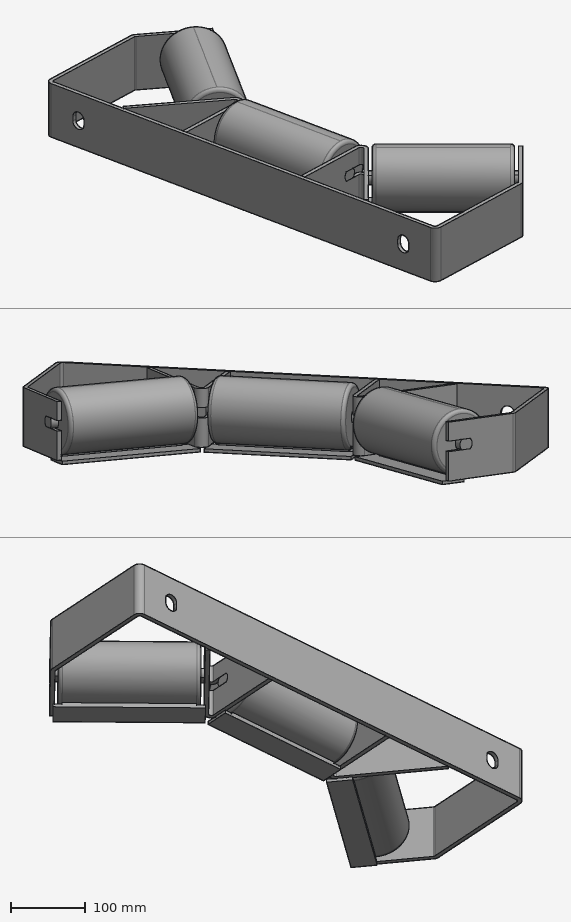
import cadquery as cq
import math

BAR_WIDTH = 80.0
BAR_THICKNESS = 6.0
BEND_RADIUS = 7.0

FRAME_LENGTH = 680.0
ARM_END = 28.5
MOUNT_HOLE_X = 283.0
MOUNT_HOLE_WIDTH = 19.0
MOUNT_HOLE_HEIGHT = 26.0

ROLLER_DIAMETER = 90.5
ROLLER_TOP_Z = 92.5
ROLLER_LENGTH = 190.5
ROLLER_EDGE_FILLET = 5.5
SHAFT_DIAMETER = 20.0
SHAFT_FLATS = 14.0
SHAFT_LENGTH = 212.0
SHAFT_Z = ROLLER_TOP_Z - ROLLER_DIAMETER / 2

GUARD_LENGTH = 203.0
GUARD_WIDTH = 35.5
GUARD_THICKNESS = 5.0

TROUGH_ANGLE = 40.0
SIDE_ROLLER_X = 207.5
SIDE_ROLLER_Y = 173.5
MIDDLE_ROLLER_Y = 100.0
ROLLER_PLACES = [
    (-SIDE_ROLLER_X, SIDE_ROLLER_Y, -TROUGH_ANGLE),
    (0, MIDDLE_ROLLER_Y, 0),
    (SIDE_ROLLER_X, SIDE_ROLLER_Y, TROUGH_ANGLE),
]

SIN = math.sin(math.radians(TROUGH_ANGLE))
COS = math.cos(math.radians(TROUGH_ANGLE))
HALF_BAR = BAR_THICKNESS / 2
SUPPORT_OFFSET = SHAFT_LENGTH / 2 - HALF_BAR


def side_roller_point(along, across):
    """Point given along the right roller's axis (outward) and across it (toward +Y)."""
    x = SIDE_ROLLER_X + along * COS - across * SIN
    y = SIDE_ROLLER_Y + along * SIN + across * COS
    return x, y


def across_at_x(along, x):
    """Distance across the right roller's axis at which a line square to it reaches this x."""
    return (SIDE_ROLLER_X + along * COS - x) / SIN


def across_at_y(along, y):
    """Distance across the right roller's axis at which a line square to it reaches this y."""
    return (y - SIDE_ROLLER_Y - along * SIN) / COS


def mirrored(points):
    return [(-x, y) for x, y in points]


def bent_bar(points):
    """Upright flat bar that follows the middle line through the points, with rounded bends."""
    line = cq.Wire.makePolygon([cq.Vector(x, y, 0) for x, y in points])
    path = line.fillet(BEND_RADIUS, line.Vertices()[1:-1])
    start = cq.Vector(*points[0], 0)
    direction = cq.Vector(*points[1], 0) - start
    section_plane = cq.Plane(origin=start, xDir=cq.Vector(0, 0, 1).cross(direction), normal=direction)
    section = cq.Workplane(section_plane).center(0, BAR_WIDTH / 2).rect(BAR_THICKNESS, BAR_WIDTH)
    return section.sweep(cq.Workplane(path))


def centred_cylinder(diameter, length):
    """Cylinder along X, centred on the origin."""
    end = cq.Plane(origin=(-length / 2, 0, 0), xDir=(0, 0, 1), normal=(1, 0, 0))
    return cq.Workplane(end).circle(diameter / 2).extrude(length)


def shaft():
    round_bar = centred_cylinder(SHAFT_DIAMETER, SHAFT_LENGTH)
    return round_bar.intersect(cq.Workplane().box(SHAFT_LENGTH, SHAFT_DIAMETER, SHAFT_FLATS))


def placed(body, place):
    x, y, angle = place
    return body.rotate((0, 0, 0), (0, 0, 1), angle).translate((x, y, SHAFT_Z))


def cut_shaft_slots(body):
    """Slots that hold the shafts, open toward the free ends and the bends of the bars."""
    slot_reach = SHAFT_LENGTH / 2 + BEND_RADIUS - HALF_BAR
    slot = cq.Workplane().box(2 * slot_reach, ROLLER_DIAMETER / 2, SHAFT_FLATS, centered=(True, False, True))
    for place in ROLLER_PLACES:
        body = body.cut(placed(slot, place)).cut(placed(shaft(), place))
    return body


def make_frame():
    side_x = FRAME_LENGTH / 2 - HALF_BAR
    right_half = [
        (side_x, HALF_BAR),
        side_roller_point(SUPPORT_OFFSET, across_at_x(SUPPORT_OFFSET, side_x)),
        side_roller_point(SUPPORT_OFFSET, ARM_END),
    ]
    frame = bent_bar(mirrored(right_half)[::-1] + right_half)
    mount_holes = (
        cq.Workplane("XZ")
        .pushPoints([(-MOUNT_HOLE_X, BAR_WIDTH / 2), (MOUNT_HOLE_X, BAR_WIDTH / 2)])
        .slot2D(MOUNT_HOLE_HEIGHT, MOUNT_HOLE_WIDTH, 90)
        .extrude(-BAR_THICKNESS)
    )
    return cut_shaft_slots(frame.cut(mount_holes))


def make_brackets():
    """V-shaped bars between the rollers, standing on the frame's base."""
    foot_y = BAR_THICKNESS
    sloping_leg = -SUPPORT_OFFSET
    foot_across = across_at_y(sloping_leg - HALF_BAR, foot_y)
    points = [
        (SUPPORT_OFFSET, foot_y),
        side_roller_point(sloping_leg, across_at_x(sloping_leg, SUPPORT_OFFSET)),
        side_roller_point(sloping_leg, foot_across),
    ]
    return [cut_shaft_slots(bent_bar(leg_points)) for leg_points in (points, mirrored(points))]


def make_roller():
    """Roller on its shaft, with the guard plate joined by a rib under the roller."""
    drum = centred_cylinder(ROLLER_DIAMETER, ROLLER_LENGTH)
    drum = drum.faces("<X or >X").edges().fillet(ROLLER_EDGE_FILLET)
    guard = (
        cq.Workplane()
        .box(GUARD_LENGTH, GUARD_WIDTH, GUARD_THICKNESS, centered=(True, False, False))
        .translate((0, 0, -SHAFT_Z - GUARD_THICKNESS))
    )
    rib_length = ROLLER_LENGTH - 2 * ROLLER_EDGE_FILLET
    rib = (
        cq.Workplane()
        .box(rib_length, GUARD_THICKNESS, SHAFT_Z, centered=(True, False, False))
        .translate((0, 0, -SHAFT_Z))
    )
    return drum.union(shaft()).union(guard).union(rib)


frame = make_frame()
brackets = make_brackets()
rollers = [placed(make_roller(), place) for place in ROLLER_PLACES]

result = cq.Compound.makeCompound([body.val() for body in [frame, *brackets, *rollers]])